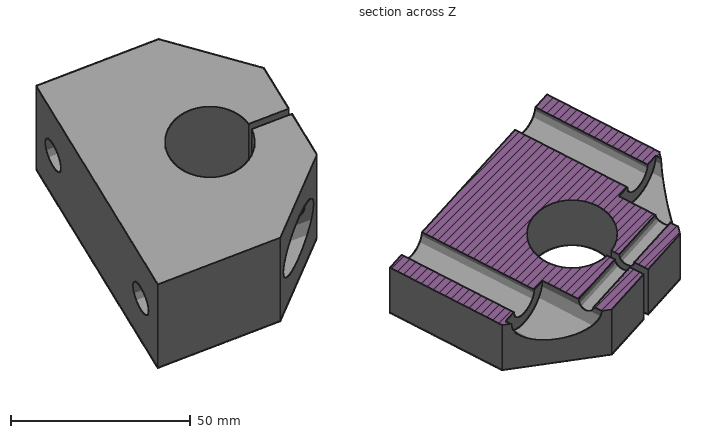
import cadquery as cq

width = 78.0
depth = 60.0
height = 38.0
corner_cut = 22.0
mid_height = height / 2

bore_diameter = 25.0
bore_y = 35.0
slit_width = 2.0

mount_spacing = 56.15
mount_diameter = 10.0
counterbore_diameter = 18.1
counterbore_floor_y = depth - corner_cut

clamp_diameter = 5.0
clamp_y = 52.7


def block():
    """Rectangular block with both rear corners cut at 45 degrees."""
    body = cq.Workplane("XY").box(width, depth, height, centered=(True, False, False))
    return body.edges("|Z and >Y").chamfer(corner_cut)


def cylinder_along_y(x, start_y, diameter):
    """Cutter running from start_y out through the rear of the block."""
    base = cq.Vector(x, start_y, mid_height)
    solid = cq.Solid.makeCylinder(diameter / 2, depth - start_y, base, cq.Vector(0, 1, 0))
    return cq.Workplane(obj=solid)


def shaft_bore():
    return cq.Workplane("XY").center(0, bore_y).circle(bore_diameter / 2).extrude(height)


def clamp_slit():
    """Slit from the bore centre to the rear face."""
    slit = cq.Workplane("XY").box(slit_width, depth - bore_y, height, centered=(True, False, False))
    return slit.translate((0, bore_y, 0))


def clamp_screw_hole():
    plane = cq.Workplane("YZ").center(clamp_y, mid_height)
    return plane.circle(clamp_diameter / 2).extrude(width / 2, both=True)


result = block().cut(shaft_bore()).cut(clamp_slit()).cut(clamp_screw_hole())
for mount_x in (-mount_spacing / 2, mount_spacing / 2):
    result = result.cut(cylinder_along_y(mount_x, 0, mount_diameter))
    result = result.cut(cylinder_along_y(mount_x, counterbore_floor_y, counterbore_diameter))